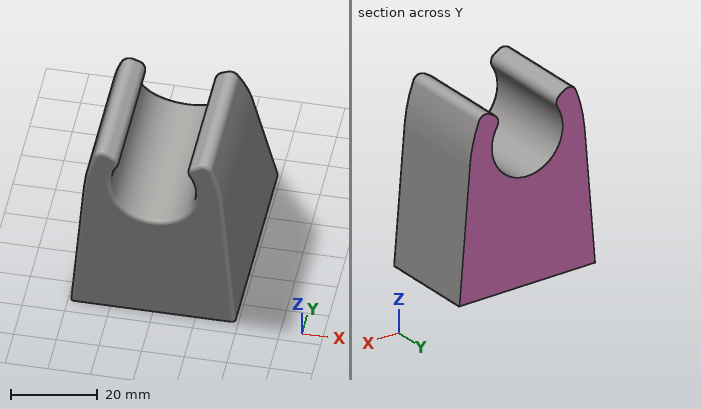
import cadquery as cq
import math

base_width = 38.6
depth = 52.7
rear_lean = 22.1

bore_radius = 9.95
bore_height = 38.0

shoulder = (-16.35, 35.4)
arm_corner = (-12.75, 48.5)
lip_slope = 32.5

tip_radius = 2.2
front_radius = 1.0
rear_radius = 1.95
base_tolerance = 0.05


def mirrored(point):
    return (-point[0], point[1])


def lip_corner():
    """Point where the sloping end of the left arm meets the bore."""
    run = math.cos(math.radians(lip_slope))
    drop = -math.sin(math.radians(lip_slope))
    x, z = arm_corner[0], arm_corner[1] - bore_height
    along = x * run + z * drop
    length = -along - math.sqrt(along**2 - (x**2 + z**2 - bore_radius**2))
    return (arm_corner[0] + length * run, arm_corner[1] + length * drop)


def arm_mid_point():
    """Middle of the outer arc that leaves the flank tangentially."""
    flank = (shoulder[0] + base_width / 2, shoulder[1])
    flank_angle = math.atan2(flank[1], flank[0])
    chord = (arm_corner[0] - shoulder[0], arm_corner[1] - shoulder[1])
    chord_angle = math.atan2(chord[1], chord[0])
    sagitta = math.hypot(*chord) / 2 * math.tan((flank_angle - chord_angle) / 2)
    return (
        (shoulder[0] + arm_corner[0]) / 2 - sagitta * math.sin(chord_angle),
        (shoulder[1] + arm_corner[1]) / 2 + sagitta * math.cos(chord_angle),
    )


def cradle():
    """Constant cross-section running back from the front face at Y = 0."""
    lip = lip_corner()
    arm_mid = arm_mid_point()
    body = (
        cq.Workplane("XZ")
        .moveTo(-base_width / 2, 0)
        .lineTo(*shoulder)
        .threePointArc(arm_mid, arm_corner)
        .lineTo(*lip)
        .threePointArc((0, bore_height - bore_radius), mirrored(lip))
        .lineTo(*mirrored(arm_corner))
        .threePointArc(mirrored(arm_mid), mirrored(shoulder))
        .lineTo(base_width / 2, 0)
        .close()
        .extrude(-depth)
    )
    for corner in (arm_corner, lip, mirrored(arm_corner), mirrored(lip)):
        middle = (corner[0], depth / 2, corner[1])
        body = body.edges(cq.selectors.NearestToPointSelector(middle)).fillet(tip_radius)
    return body


def rear_cutter():
    """Wedge removed behind the leaning rear face."""
    top = arm_corner[1]
    lean = top * math.tan(math.radians(rear_lean))
    return (
        cq.Workplane("YZ")
        .polyline([(depth, 0), (depth, top), (depth - lean, top)])
        .close()
        .extrude(base_width / 2, both=True)
    )


def round_face(body, face_selector, radius):
    """Round every edge of an end face except the one on the flat base."""
    edges = body.faces(face_selector).edges()
    upper_edges = edges.filter(lambda edge: edge.BoundingBox().zmax > base_tolerance)
    return upper_edges.fillet(radius)


result = cradle().cut(rear_cutter())
result = round_face(result, ">Y", rear_radius)
result = round_face(result, "<Y", front_radius)